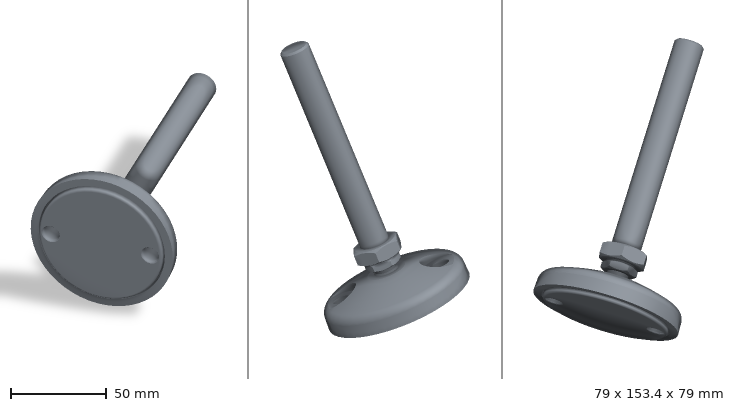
import cadquery as cq
import math


OVERALL_LENGTH = 153.4
RIM_FACE_LEVEL = 2.0
WALL_TOP_LEVEL = 9.0
SHOULDER_LEVEL = 13.7
FOOT_TOP_LEVEL = 20.5
FLARE_TOP_LEVEL = 21.3
COLLAR_LEVEL = 23.8
COLLAR_TOP_LEVEL = 28.4
NUT_LEVEL = 29.3
NUT_TOP_LEVEL = 37.5

FOOT_DIAMETER = 79.0
WALL_DRAFT = 0.3
SHOULDER_RADIUS = 35.3
FOOT_TOP_RADIUS = 10.6
DOME_BULGE = 0.5
SHOULDER_BULGE = 0.9
RECESS_RADIUS = 35.1
RECESS_DEPTH = 6.1
RECESS_ROOF_LEVEL = RIM_FACE_LEVEL + RECESS_DEPTH

HOLE_DIAMETER = 9.5
HOLE_OFFSET = 27.6
SPOTFACE_DIAMETER = 20.0
HOLE_CHAMFER = 0.3

PAD_RADIUS = 34.0
PAD_EDGE_ROUND = 1.2

STUD_DIAMETER = 16.0
STUD_CHAMFER = 1.0
NECK_DIAMETER = 11.5
FLARE_DIAMETER = 13.5
COLLAR_FLATS = 17.0

NUT_FLATS = 24.0

HEXAGON_SIDES = 6
CHAMFER_ANGLE = 30.0
END_CIRCLE_RATIO = 0.95


def axial_cylinder(radius, start, end):
    """Cylinder about the Y axis between two levels."""
    return cq.Workplane("XZ", origin=(0, start, 0)).circle(radius).extrude(start - end)


def revolve_about_y(profile):
    """Turn a closed profile of (radius, level) points about the Y axis."""
    return profile.close().revolve(360, (0, 0, 0), (0, 1, 0))


def bulged_midpoint(start, end, bulge):
    """Middle of an arc that rises by bulge to the outer side of the chord from start to end."""
    run = end[0] - start[0]
    rise = end[1] - start[1]
    chord = math.hypot(run, rise)
    middle_radius = (start[0] + end[0]) / 2 + bulge * rise / chord
    middle_level = (start[1] + end[1]) / 2 - bulge * run / chord
    return middle_radius, middle_level


def chamfered_hexagon(flats, start, end, turn):
    """Hexagonal prism along Y with corners turned off at both ends."""
    corner_diameter = flats / math.cos(math.pi / HEXAGON_SIDES)
    prism = (
        cq.Workplane("XZ", origin=(0, start, 0))
        .polygon(HEXAGON_SIDES, corner_diameter)
        .extrude(start - end)
        .rotate((0, 0, 0), (0, 1, 0), turn)
    )
    corner_radius = corner_diameter / 2
    end_radius = flats * END_CIRCLE_RATIO / 2
    cone_height = (corner_radius - end_radius) * math.tan(math.radians(CHAMFER_ANGLE))
    envelope = revolve_about_y(
        cq.Workplane("ZY")
        .moveTo(0, start)
        .lineTo(end_radius, start)
        .lineTo(corner_radius, start + cone_height)
        .lineTo(corner_radius, end - cone_height)
        .lineTo(end_radius, end)
        .lineTo(0, end)
    )
    return prism.intersect(envelope)


def at_mounting_holes(diameter, start, end):
    """Pair of cylinders on the mounting hole axes."""
    return (
        cq.Workplane("XZ", origin=(0, start, 0))
        .pushPoints([(-HOLE_OFFSET, 0), (HOLE_OFFSET, 0)])
        .circle(diameter / 2)
        .extrude(start - end)
    )


def make_foot():
    """Domed foot with a recess underneath and spotfaced mounting holes."""
    rim_radius = FOOT_DIAMETER / 2
    wall_top = (rim_radius - WALL_DRAFT, WALL_TOP_LEVEL)
    shoulder = (SHOULDER_RADIUS, SHOULDER_LEVEL)
    dome_edge = (FOOT_TOP_RADIUS, FOOT_TOP_LEVEL)
    foot = revolve_about_y(
        cq.Workplane("ZY")
        .moveTo(0, RIM_FACE_LEVEL)
        .lineTo(rim_radius, RIM_FACE_LEVEL)
        .lineTo(*wall_top)
        .threePointArc(bulged_midpoint(wall_top, shoulder, SHOULDER_BULGE), shoulder)
        .threePointArc(bulged_midpoint(shoulder, dome_edge, DOME_BULGE), dome_edge)
        .lineTo(0, FOOT_TOP_LEVEL)
    )
    recess = axial_cylinder(RECESS_RADIUS, RIM_FACE_LEVEL, RECESS_ROOF_LEVEL)
    holes = at_mounting_holes(HOLE_DIAMETER, 0, FOOT_TOP_LEVEL)
    spotfaces = at_mounting_holes(SPOTFACE_DIAMETER, SHOULDER_LEVEL, FOOT_TOP_LEVEL)
    return foot.cut(recess).cut(holes).cut(spotfaces)


def make_pad():
    """Floor pad seated in the recess of the foot, with a gap around it."""
    pad = axial_cylinder(PAD_RADIUS, 0, RECESS_ROOF_LEVEL)
    pad = pad.faces("<Y").edges().fillet(PAD_EDGE_ROUND)
    pad = pad.cut(at_mounting_holes(HOLE_DIAMETER, 0, RECESS_ROOF_LEVEL))
    hole_edges = pad.faces("<Y").edges(cq.selectors.RadiusNthSelector(0))
    return hole_edges.chamfer(HOLE_CHAMFER)


def make_spindle():
    """Stud, hexagonal collar and flared neck in one piece, standing on the foot."""
    stud = axial_cylinder(STUD_DIAMETER / 2, COLLAR_TOP_LEVEL, OVERALL_LENGTH)
    stud = stud.faces("<Y or >Y").edges().chamfer(STUD_CHAMFER)
    collar = chamfered_hexagon(COLLAR_FLATS, COLLAR_LEVEL, COLLAR_TOP_LEVEL, 0)
    neck = revolve_about_y(
        cq.Workplane("ZY")
        .moveTo(0, FOOT_TOP_LEVEL)
        .lineTo(FLARE_DIAMETER / 2, FOOT_TOP_LEVEL)
        .lineTo(NECK_DIAMETER / 2, FLARE_TOP_LEVEL)
        .lineTo(NECK_DIAMETER / 2, COLLAR_LEVEL)
        .lineTo(0, COLLAR_LEVEL)
    )
    return stud.union(collar).union(neck)


def make_nut():
    """Hexagonal lock nut on the stud, turned to put two corners up and down."""
    nut = chamfered_hexagon(NUT_FLATS, NUT_LEVEL, NUT_TOP_LEVEL, 90)
    return nut.cut(axial_cylinder(STUD_DIAMETER / 2, NUT_LEVEL, NUT_TOP_LEVEL))


foot = make_foot()
pad = make_pad()
spindle = make_spindle()
nut = make_nut()

result = cq.Compound.makeCompound([foot.val(), pad.val(), spindle.val(), nut.val()])